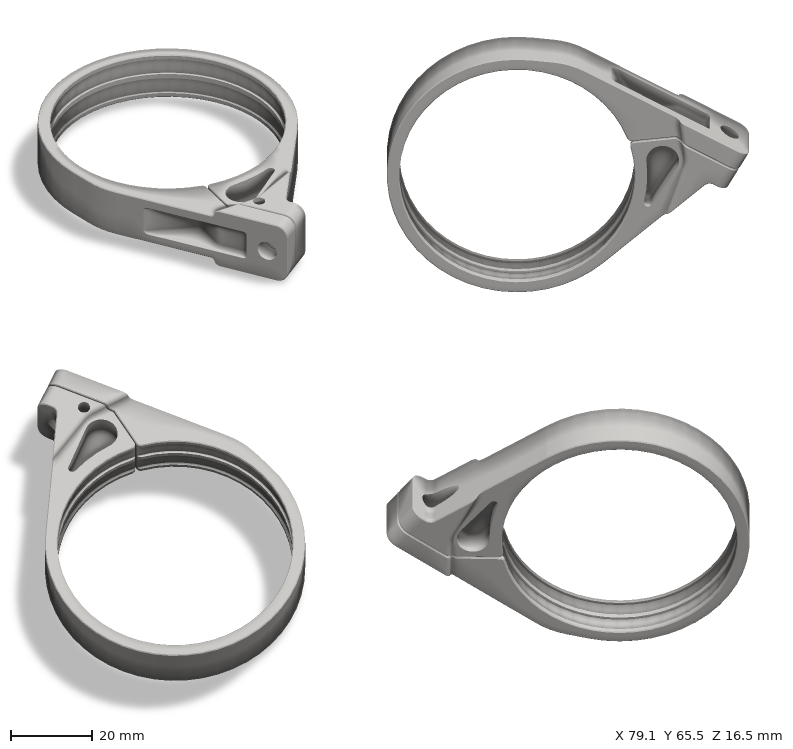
import cadquery as cq
import math


outer_radius = 32.1
bore_radius = 29.0
ring_height = 12.65
ring_half = ring_height / 2
edge_chamfer = 0.2

land_height = 1.3
groove_depth = 0.6
groove_height = (ring_height - 3 * land_height) / 2

total_length = 79.1
total_width = 65.5
tab_height = 16.5
tab_half = tab_height / 2
tab_end = total_length - outer_radius
tab_bottom = outer_radius - total_width
tab_top = -22.3
tab_middle_y = (tab_top + tab_bottom) / 2
tab_corner_radius = 3.2
upper_lean = math.radians(19.0)
lower_lean = math.radians(23.0)
upper_blend_radius = 2.0
lower_blend_radius = 20.6

step_foot = (27.1, tab_bottom)
step_bend = (34.1, -23.9)
step_head = (36.95, -9.5)
step_bend_radius = 7.9
step_spread = 2.2
step_reach = 31.65

slit_width = 0.2
slit_y = -28.3
slit_start_x = 17.4
slit_bend_x = 29.0
slit_slope = math.radians(35.6)
slit_overrun = 0.8
lip_zone_length = 6.3
lip_zone_low_y = -27.7
lip_zone_high_y = -15.8
slit_lip_radius = 1.2

bolt_radius = 2.6
bolt_x = 41.45
drill_center = (35.8, -25.3)
drill_radius = 1.5
drill_depth = 4.75
drill_tip_angle = math.radians(118)
drill_tip_radius = 0.5

teardrop_angle = math.radians(-35.9)
teardrop_radius = 4.0
teardrop_tip_angle = math.radians(-16.3)
teardrop_tip_radius = 1.0
teardrop_depth = 5.7
teardrop_floor_radius = 0.95

relief_start_x = 8.1
relief_apex = (20.2, -26.2)
relief_shelf = (27.45, -31.3)
relief_end_x = 35.9
relief_overrun = 3.95
relief_height = 7.9
relief_apex_radius = 1.8
relief_shelf_radius = 3.2
relief_end_radius = 1.2
relief_floor_radius = 0.9

upright_tolerance = 0.001


def polar(radius, angle):
    return (radius * math.cos(angle), radius * math.sin(angle))


def edge_near(x, y, z=0):
    """Selector for the edge nearest to a point."""
    return cq.selectors.NearestToPointSelector((x, y, z))


def slab(sketch, height):
    """Plate of the given height, centred on Z = 0."""
    return sketch.extrude(height / 2, both=True)


def outline(height):
    """Ring and tab outline as a plate centred on Z = 0."""
    upper_tangent = polar(outer_radius, upper_lean)
    lower_tangent = polar(outer_radius, -math.pi / 2 - lower_lean)
    upper_run = (upper_tangent[1] - tab_top) * math.tan(upper_lean)
    lower_run = (lower_tangent[1] - tab_bottom) / math.tan(lower_lean)
    upper_corner = (upper_tangent[0] + upper_run, tab_top)
    lower_corner = (lower_tangent[0] + lower_run, tab_bottom)
    ring_middle = polar(outer_radius, math.radians(150))
    plate = slab(
        cq.Workplane("XY")
        .moveTo(*upper_tangent)
        .threePointArc(ring_middle, lower_tangent)
        .lineTo(*lower_corner)
        .lineTo(tab_end, tab_bottom)
        .lineTo(tab_end, tab_top)
        .lineTo(*upper_corner)
        .close(),
        height,
    )
    plate = plate.edges(edge_near(*upper_corner)).fillet(upper_blend_radius)
    return plate.edges(edge_near(*lower_corner)).fillet(lower_blend_radius)


def step_region():
    """Space on the tab side of the bent step, bounded by two equal arcs on each face."""
    foot_angle = math.atan2(step_bend[1] - step_foot[1], step_bend[0] - step_foot[0])
    head_angle = math.atan2(step_head[1] - step_bend[1], step_head[0] - step_bend[0])
    setback = step_bend_radius * math.tan((head_angle - foot_angle) / 2)

    def from_bend(angle, distance):
        dx, dy = polar(distance, angle)
        return (step_bend[0] + dx, step_bend[1] + dy)

    start = from_bend(foot_angle, -2 * step_reach)
    path = (
        cq.Workplane("XY")
        .moveTo(*start)
        .lineTo(*from_bend(foot_angle, -setback))
        .tangentArcPoint(from_bend(head_angle, setback), relative=False)
        .lineTo(*from_bend(head_angle, step_reach))
    )
    section_plane = cq.Plane(
        origin=(*start, 0),
        xDir=(math.sin(foot_angle), -math.cos(foot_angle), 0),
        normal=(math.cos(foot_angle), math.sin(foot_angle), 0),
    )
    half_spread = step_spread / 2
    middle = (ring_half + tab_half) / 2
    section = (
        cq.Workplane(section_plane)
        .moveTo(step_reach, 0)
        .lineTo(step_reach, tab_half)
        .lineTo(half_spread, tab_half)
        .tangentArcPoint((0, middle), relative=False)
        .tangentArcPoint((-half_spread, ring_half), relative=False)
        .lineTo(-half_spread, 0)
        .close()
    )
    region = section.sweep(path)
    return region.union(region.mirror("XY"))


def blank():
    """Solid clamp without bore: ring and tab plates joined, tab corners rounded."""
    body = outline(ring_height).union(outline(tab_height).intersect(step_region()))
    upper_edge = edge_near(tab_end, tab_middle_y, tab_half)
    lower_edge = edge_near(tab_end, tab_middle_y, -tab_half)
    return body.edges(upper_edge + lower_edge).fillet(tab_corner_radius)


def slit():
    """Bent slot running from inside the bore to past the end of the tab."""
    half = slit_width / 2
    start_y = slit_y + (slit_bend_x - slit_start_x) * math.tan(slit_slope)
    mitre = half * math.tan(slit_slope / 2)
    rise = half / math.cos(slit_slope)
    slit_end_x = tab_end + slit_overrun
    return slab(
        cq.Workplane("XY").polyline([
            (slit_start_x, start_y - rise),
            (slit_bend_x - mitre, slit_y - half),
            (slit_end_x, slit_y - half),
            (slit_end_x, slit_y + half),
            (slit_bend_x + mitre, slit_y + half),
            (slit_start_x, start_y + rise),
        ]).close(),
        total_length,
    )


def lip_edges(body):
    """Vertical edges where the slit breaks into the bore."""
    corner = (slit_start_x, lip_zone_low_y, -ring_half)
    opposite = (slit_start_x + lip_zone_length, lip_zone_high_y, ring_half)
    return body.edges("|Z").edges(cq.selectors.BoxSelector(corner, opposite))


def wall_rims(body):
    """Edges around the upright walls, leaving out the flat end of the tab."""

    def is_side_wall(face):
        normal = face.normalAt()
        return abs(normal.z) < upright_tolerance and normal.x < 1 - upright_tolerance

    def is_rim(edge):
        return abs(edge.tangentAt(0.5).z) < 1 - upright_tolerance

    return body.faces().filter(is_side_wall).edges().filter(is_rim)


def grooves():
    """Two wide shallow grooves turned into the bore."""
    offset = (groove_height + land_height) / 2
    disc = cq.Workplane("XY").circle(bore_radius + groove_depth).extrude(groove_height)
    disc = disc.translate((0, 0, -groove_height / 2))
    return disc.translate((0, 0, offset)).union(disc.translate((0, 0, -offset)))


def teardrop():
    """Teardrop pocket cutter for the upper face: an arc on the bore side, a straight flank outside."""
    x, y = polar(outer_radius + teardrop_radius, teardrop_angle)
    tip_x, tip_y = polar(outer_radius + teardrop_tip_radius, teardrop_tip_angle)
    flank = math.atan2(tip_y - y, tip_x - x)
    spread = math.acos((teardrop_radius - teardrop_tip_radius) / math.hypot(tip_x - x, tip_y - y))
    normal = flank - spread

    def on_bulb(angle):
        dx, dy = polar(teardrop_radius, angle)
        return (x + dx, y + dy)

    def on_tip(angle):
        dx, dy = polar(teardrop_tip_radius, angle)
        return (tip_x + dx, tip_y + dy)

    inner_start = polar(outer_radius, teardrop_tip_angle)
    inner_end = polar(outer_radius, teardrop_angle)
    inner_middle = polar(outer_radius, (teardrop_tip_angle + teardrop_angle) / 2)
    pocket = (
        cq.Workplane("XY", origin=(0, 0, ring_half - teardrop_depth))
        .moveTo(*inner_start)
        .threePointArc(inner_middle, inner_end)
        .threePointArc(on_bulb(-math.pi / 2), on_bulb(normal))
        .lineTo(*on_tip(normal))
        .threePointArc(on_tip(math.pi / 2), inner_start)
        .close()
        .extrude(total_length)
    )
    return pocket.faces("<Z").edges().fillet(teardrop_floor_radius)


def drilled_hole():
    """Blind hole in the upper tab face with a blunted conical bottom."""
    tip = (drill_radius - drill_tip_radius) / math.tan(drill_tip_angle / 2)
    return (
        cq.Workplane("XZ", origin=(*drill_center, tab_half))
        .polyline([
            (0, 0),
            (drill_radius, 0),
            (drill_radius, -drill_depth),
            (drill_tip_radius, -drill_depth - tip),
            (0, -drill_depth - tip),
        ])
        .close()
        .revolve(360, (0, 0), (0, 1))
    )


def bolt_hole():
    """Through hole along Y that crosses both jaws of the tab."""
    sketch = cq.Workplane("XZ").center(bolt_x, 0).circle(bolt_radius)
    return sketch.extrude(total_length, both=True)


def relief():
    """Pocket in the -Y face whose floor follows the ring, then the slit."""
    ramp_slope = (relief_apex[1] - tab_bottom) / (relief_apex[0] - relief_start_x)
    open_y = tab_bottom - relief_overrun
    pocket = slab(
        cq.Workplane("XY").polyline([
            (relief_start_x - relief_overrun / ramp_slope, open_y),
            relief_apex,
            relief_shelf,
            (relief_end_x, relief_shelf[1]),
            (relief_end_x, open_y),
        ]).close(),
        relief_height,
    )
    pocket = pocket.edges(edge_near(*relief_apex)).fillet(relief_apex_radius)
    pocket = pocket.edges(edge_near(*relief_shelf)).fillet(relief_shelf_radius)
    pocket = pocket.edges(edge_near(relief_end_x, relief_shelf[1])).fillet(relief_end_radius)
    floor_edges = pocket.faces("not(<Y or |Z)").edges("not(<Y)").edges("|Z and >X or #Z")
    return floor_edges.fillet(relief_floor_radius)


body = blank()
body = body.cut(slab(cq.Workplane("XY").circle(bore_radius), total_length))
body = body.cut(slit())
body = lip_edges(body).fillet(slit_lip_radius)
body = wall_rims(body).chamfer(edge_chamfer)
body = body.cut(grooves())
upper_teardrop = teardrop()
body = body.cut(upper_teardrop).cut(upper_teardrop.mirror("XY"))
body = body.cut(drilled_hole())
body = body.cut(bolt_hole())
result = body.cut(relief())